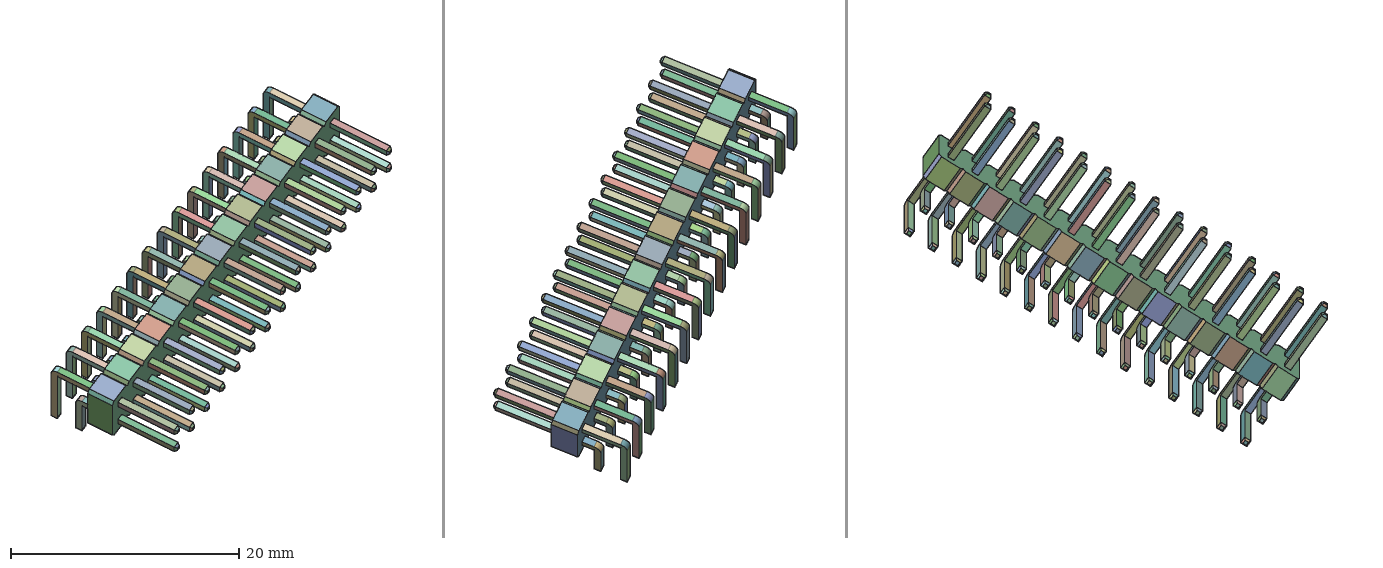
import cadquery as cq


columns = 15
body_length = 38.1
pitch = body_length / columns
body_width = pitch
body_height = 2 * pitch
notch_half_width = 0.285
notch_depth = 0.35

pin_size = 0.65
half_pin = pin_size / 2
tip_length = 0.23
tip_inset = 0.15
tip_size = pin_size - 2 * tip_inset
mating_length = 6.02
tail_drop = 3.0
inner_leg_gap = 1.5

mating_end_x = body_width / 2 + mating_length
tail_end_z = -tail_drop
inner_leg_x = -body_width / 2 - inner_leg_gap
pin_rows = [
    (inner_leg_x, pitch / 2),
    (inner_leg_x - pitch, 3 * pitch / 2),
]


def column_y(index):
    return (index - (columns - 1) / 2) * pitch


def body_segment(y):
    """One column of the body, with its four long edges bevelled to form the notches."""
    half_length = pitch / 2
    flat_half = half_length - notch_half_width
    outline = [
        (y - flat_half, 0),
        (y + flat_half, 0),
        (y + half_length, notch_depth),
        (y + half_length, body_height - notch_depth),
        (y + flat_half, body_height),
        (y - flat_half, body_height),
        (y - half_length, body_height - notch_depth),
        (y - half_length, notch_depth),
    ]
    return cq.Workplane("YZ").polyline(outline).close().extrude(body_width / 2, both=True)


def tapered_tip(base_point, direction):
    """Short pyramid frustum that ends a pin, growing from base_point along direction."""
    base = cq.Plane(origin=base_point, xDir=(0, 1, 0), normal=direction)
    return (
        cq.Workplane(base)
        .rect(pin_size, pin_size)
        .workplane(offset=tip_length)
        .rect(tip_size, tip_size)
        .loft(ruled=True)
    )


def bent_pin(leg_x, arm_z):
    """L-shaped square pin at Y = 0: rounded outside the bend, sharp inside it."""
    arm_end_x = mating_end_x - tip_length
    leg_end_z = tail_end_z + tip_length
    left = leg_x - half_pin
    top = arm_z + half_pin
    bend_centre = (left + pin_size, top - pin_size)
    diagonal = pin_size / 2**0.5
    bend_middle = (bend_centre[0] - diagonal, bend_centre[1] + diagonal)
    bar = (
        cq.Workplane("XZ")
        .moveTo(left, leg_end_z)
        .lineTo(left, bend_centre[1])
        .threePointArc(bend_middle, (bend_centre[0], top))
        .lineTo(arm_end_x, top)
        .lineTo(arm_end_x, bend_centre[1])
        .lineTo(*bend_centre)
        .lineTo(bend_centre[0], leg_end_z)
        .close()
        .extrude(half_pin, both=True)
    )
    mating_tip = tapered_tip((arm_end_x, 0, arm_z), (1, 0, 0))
    tail_tip = tapered_tip((leg_x, 0, leg_end_z), (0, 0, -1))
    return bar.union(mating_tip).union(tail_tip)


row_pins = [bent_pin(leg_x, arm_z) for leg_x, arm_z in pin_rows]

segments = []
pins = []
for column in range(columns):
    y = column_y(column)
    segments.append(body_segment(y).val())
    for pin in row_pins:
        pins.append(pin.val().translate(cq.Vector(0, y, 0)))

body = segments[0].fuse(*segments[1:]).clean()
result = cq.Workplane(body.fuse(*pins))